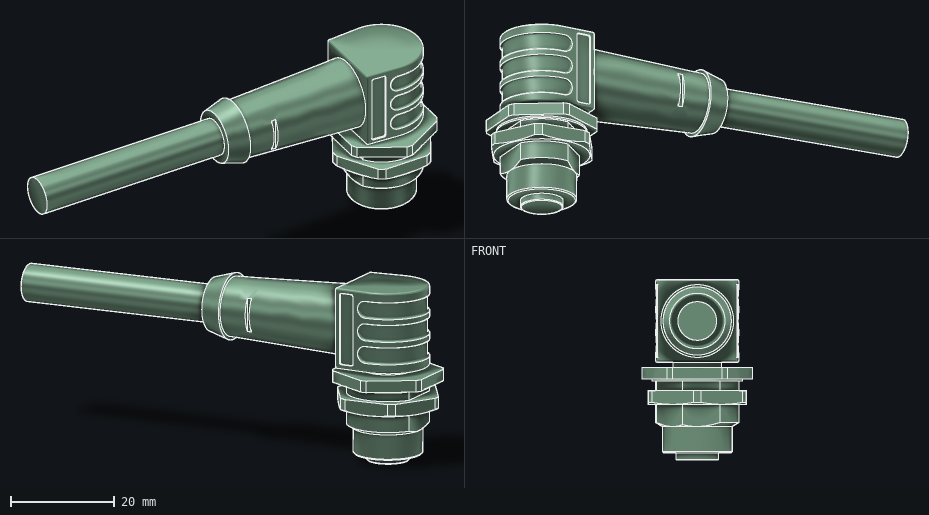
import cadquery as cq
import math

total_height = 34.9
head_height = 16.0
head_bottom = total_height - head_height
cable_z = total_height - head_height / 2

head_radius = 8.1
head_front_y = -7.7
head_front_half_width = 7.6
head_edge_round = 0.4

slot_count = 3
slot_pitch = 4.5
slot_width = 3.3
slot_depth = 0.4
slot_end_y = -2.6
slot_floor_round = 0.35

panel_height = 14.2
panel_width = 3.0
panel_center_y = -5.2
panel_corner = 0.4
panel_depth = 0.35

boot_base_radius = 7.0
boot_tip_radius = 5.9
collar_y = -33.35
collar_radius = 6.6
collar_tip_y = -37.6
collar_tip_radius = 5.4
cable_diameter = 7.5
cable_end_y = -77.4

notch_y = -27.4
notch_width = 0.9
notch_floor_x = 5.2

neck_diameter = 9.4

fixed_hex_bottom = 15.7
fixed_hex_height = 2.3
fixed_hex_flats = 19.2
fixed_hex_corners = 21.5
fixed_hex_turn = 30
ring_diameter = 17.6
ring_height = 0.35

nut_bottom = 10.7
nut_height = 2.7
nut_flats = 19.0
nut_corners = 21.1
nut_turn = 0
nut_bevel_width = 1.2
nut_bevel_height = 0.4

body_radius = 8.1
body_cone_top = 7.3
barrel_top = 6.5
barrel_bottom = 1.4
barrel_radius = 6.8
barrel_bevel = 0.3
insert_diameter = 8.3
insert_bevel = 0.2
flat_directions = (90, 225, 270)


def cylinder(radius, bottom, top):
    return cq.Workplane("XY").workplane(offset=bottom).circle(radius).extrude(top - bottom)


def head_blank(inset=0):
    """Head prism, optionally shrunk all around in plan, before its edges are rounded."""
    corner_distance = math.hypot(head_front_half_width, head_front_y)
    corner_angle = math.atan2(head_front_y, head_front_half_width)
    tangent_angle = corner_angle + math.acos(head_radius / corner_distance)
    tangent_x = head_radius * math.cos(tangent_angle)
    tangent_y = head_radius * math.sin(tangent_angle)
    outline = (
        cq.Workplane("XY")
        .workplane(offset=head_bottom)
        .moveTo(-head_front_half_width, head_front_y)
        .lineTo(head_front_half_width, head_front_y)
        .lineTo(tangent_x, tangent_y)
        .threePointArc((0, head_radius), (-tangent_x, tangent_y))
        .close()
    )
    if inset:
        outline = outline.offset2D(-inset)
    return outline.extrude(head_height)


def across_head(y, z):
    """Sketch plane square to X, centered at (y, z), with its first direction along +Y."""
    return cq.Workplane("YZ", origin=(0, y, z))


def make_head():
    head = head_blank().edges("(|Z and <Y) or #Z").fillet(head_edge_round)

    slot_core = head_blank(slot_depth)
    near_head = cq.selectors.BoxSelector(
        (-head_radius, -head_radius, head_bottom), (head_radius, head_radius, total_height)
    )
    slot_length = 4 * head_radius
    for index in range(slot_count):
        slot_z = cable_z + (index - (slot_count - 1) / 2) * slot_pitch
        slot = (
            across_head(slot_end_y + slot_length / 2, slot_z)
            .slot2D(slot_length, slot_width)
            .extrude(2 * head_radius, both=True)
        )
        recess = slot.cut(slot_core).edges(near_head).edges("not |Z").fillet(slot_floor_round)
        head = head.cut(recess)

    panel = (
        across_head(panel_center_y, cable_z)
        .rect(panel_width, panel_height)
        .extrude(2 * head_radius, both=True)
        .edges("|X")
        .fillet(panel_corner)
    )
    return head.cut(panel.cut(head_blank(panel_depth)))


def make_boot_and_cable():
    cable_radius = cable_diameter / 2
    profile = [
        (0, 0),
        (boot_base_radius, 0),
        (boot_base_radius, head_front_y),
        (boot_tip_radius, collar_y),
        (collar_radius, collar_y),
        (collar_tip_radius, collar_tip_y),
        (cable_radius, collar_tip_y),
        (cable_radius, cable_end_y),
        (0, cable_end_y),
    ]
    boot = cq.Workplane("XY").polyline(profile).close().revolve(360, (0, 0), (0, 1))
    for side in (-1, 1):
        notch = cq.Workplane("XY").box(boot_base_radius, notch_width, 2 * boot_base_radius)
        boot = boot.cut(notch.translate((side * (notch_floor_x + boot_base_radius / 2), notch_y, 0)))
    return boot.translate((0, 0, cable_z))


def hexagon(flats, corners, bottom, height, turn):
    """Hexagonal prism, corners on Y before the turn, trimmed to a cylinder."""
    prism = (
        cq.Workplane("XY")
        .workplane(offset=bottom)
        .polygon(6, flats, circumscribed=True)
        .extrude(height)
        .rotate((0, 0, 0), (0, 0, 1), turn)
    )
    return prism.intersect(cylinder(corners / 2, bottom, bottom + height))


def make_nut():
    nut = hexagon(nut_flats, nut_corners, nut_bottom, nut_height, nut_turn)
    envelope = (
        cylinder(nut_corners / 2, nut_bottom, nut_bottom + nut_height)
        .faces("<Z")
        .chamfer(nut_bevel_height, nut_bevel_width)
    )
    return nut.intersect(envelope)


def make_body():
    profile = [
        (0, barrel_top),
        (barrel_radius, barrel_top),
        (body_radius, body_cone_top),
        (body_radius, fixed_hex_bottom),
        (0, fixed_hex_bottom),
    ]
    body = cq.Workplane("XZ").polyline(profile).close().revolve(360, (0, 0), (0, 1))
    for direction in flat_directions:
        waste = cq.Workplane("XY").box(
            body_radius, 2 * body_radius, total_height, centered=(False, True, False)
        )
        waste = waste.translate((barrel_radius, 0, 0)).rotate((0, 0, 0), (0, 0, 1), direction)
        body = body.cut(waste)

    barrel = cylinder(barrel_radius, barrel_bottom, barrel_top).faces("<Z").chamfer(barrel_bevel)
    insert = cylinder(insert_diameter / 2, 0, barrel_top).faces("<Z").chamfer(insert_bevel)
    return body.union(barrel).union(insert)


neck = cylinder(neck_diameter / 2, fixed_hex_bottom, cable_z)
fixed_hex = hexagon(fixed_hex_flats, fixed_hex_corners, fixed_hex_bottom, fixed_hex_height, fixed_hex_turn)
ring = cylinder(ring_diameter / 2, fixed_hex_bottom - ring_height, fixed_hex_bottom)

result = (
    make_body()
    .union(ring)
    .union(make_nut())
    .union(fixed_hex)
    .union(neck)
    .union(make_head())
    .union(make_boot_and_cable())
)